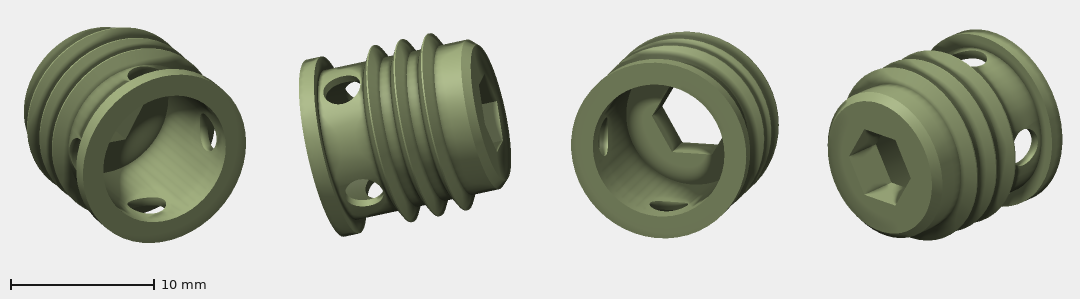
import cadquery as cq
import math

LENGTH = 12.1
BODY_RADIUS = 5.35
OUTER_RADIUS = 6.325
FLANGE_THICKNESS = 1.1
CHAMFER_LENGTH = 0.55
CHAMFER_HEIGHT = 0.5

RING_COUNT = 3
RING_PITCH = 2.0
FIRST_RING_X = 3.13
CREST_WIDTH = 0.1
FLANK_ANGLE = 30.0

HEX_ACROSS_FLATS = 5.0
HEX_DEPTH = 2.85
BORE_RADIUS = 4.75

CROSS_HOLE_DIAMETER = 2.7
CROSS_HOLE_X = 9.26


def revolve_about_x(profile):
    return profile.close().revolve(360, (0, 0, 0), (1, 0, 0))


def make_body():
    flange_x = LENGTH - FLANGE_THICKNESS
    profile = (
        cq.Workplane("XY")
        .moveTo(0, 0)
        .lineTo(0, BODY_RADIUS - CHAMFER_HEIGHT)
        .lineTo(CHAMFER_LENGTH, BODY_RADIUS)
        .lineTo(flange_x, BODY_RADIUS)
        .lineTo(flange_x, OUTER_RADIUS)
        .lineTo(LENGTH, OUTER_RADIUS)
        .lineTo(LENGTH, 0)
    )
    return revolve_about_x(profile)


def make_ring(crest_x):
    half_crest = CREST_WIDTH / 2
    flank_run = (OUTER_RADIUS - BODY_RADIUS) * math.tan(math.radians(FLANK_ANGLE))
    half_base = half_crest + flank_run
    profile = (
        cq.Workplane("XY")
        .moveTo(crest_x - half_base, BORE_RADIUS)
        .lineTo(crest_x - half_base, BODY_RADIUS)
        .lineTo(crest_x - half_crest, OUTER_RADIUS)
        .lineTo(crest_x + half_crest, OUTER_RADIUS)
        .lineTo(crest_x + half_base, BODY_RADIUS)
        .lineTo(crest_x + half_base, BORE_RADIUS)
    )
    return revolve_about_x(profile)


def make_hex_socket():
    across_corners = HEX_ACROSS_FLATS / math.cos(math.radians(30))
    return cq.Workplane("YZ").polygon(6, across_corners).extrude(HEX_DEPTH)


def make_bore():
    return cq.Workplane("YZ").workplane(offset=HEX_DEPTH).circle(BORE_RADIUS).extrude(LENGTH - HEX_DEPTH)


def make_cross_hole(plane):
    return (
        cq.Workplane(plane)
        .center(CROSS_HOLE_X, 0)
        .circle(CROSS_HOLE_DIAMETER / 2)
        .extrude(OUTER_RADIUS, both=True)
    )


result = make_body()
for index in range(RING_COUNT):
    result = result.union(make_ring(FIRST_RING_X + index * RING_PITCH))

result = result.cut(make_hex_socket()).cut(make_bore())
for hole_plane in ("XY", "XZ"):
    result = result.cut(make_cross_hole(hole_plane))